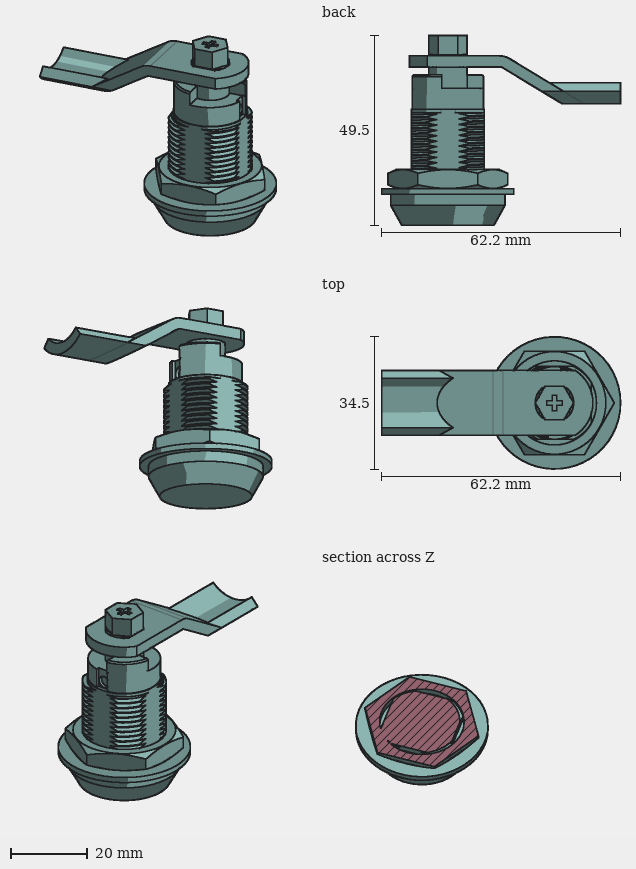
import cadquery as cq
import math


FACE_RADIUS = 12.0
BEZEL_RADIUS = 14.95
BEZEL_CONE_HEIGHT = 5.3
BEZEL_TOP = 8.1
FLANGE_RADIUS = 17.25
FLANGE_TOP = 9.6

BARREL_RADIUS = 10.95
BARREL_FLATS = 19.05
THREAD_ROOT_RADIUS = 9.95
THREAD_PITCH = 1.405
THREAD_ANGLE = 60.0
THREAD_TOP = 29.4
GROOVE_START = 10.4
GROOVE_TURNS = 14
GROOVE_OVERCUT = 0.1
COLLAR_RADIUS = 9.7
BARREL_TOP = 30.25

NUT_FLATS = 27.0
NUT_HEIGHT = 5.0
NUT_CHAMFER_RADIUS = 13.4
NUT_CHAMFER_HEIGHT = 1.0

ROTOR_RADIUS = 9.45
ROTOR_STEP = 35.7
ROTOR_TOP = 39.2
ROTOR_CHAMFER = 0.45
LUG_OFFSET = 1.6
SLOT_WIDTH = 3.6
SLOT_FLOOR = 8.4
SLOT_HOLE_RADIUS = 1.6
SLOT_HOLE_DEPTH = 1.0

BAR_RADIUS = 5.01
NECK_SQUARE = 7.95
HEAD_BOTTOM = 44.5
HEAD_TOP = 49.5
CROSS_LENGTH = 4.1
CROSS_WIDTH = 1.1
CROSS_DEPTH = 1.0

LEVER_WIDTH = 16.95
LEVER_THICKNESS = 3.0
LEVER_TOP = 44.2
LEVER_END_RADIUS = 10.0
LEVER_TIP_X = -45.0
BEND_X = -14.0
BEND_ANGLE = 31.2
BEND_OUTER_RADIUS = 5.0
TROUGH_OUTER_RADIUS = 12.5
TROUGH_HALF_ANGLE = math.degrees(math.asin(LEVER_WIDTH / 2 / TROUGH_OUTER_RADIUS))

LEVER_BOTTOM = LEVER_TOP - LEVER_THICKNESS
TROUGH_INNER_RADIUS = TROUGH_OUTER_RADIUS - LEVER_THICKNESS


def disc(radius, bottom, top):
    return cq.Workplane("XY").workplane(offset=bottom).circle(radius).extrude(top - bottom)


def square_bar(side, bottom, top):
    return cq.Workplane("XY").workplane(offset=bottom).rect(side, side).extrude(top - bottom)


def hexagon(across_corners, bottom, top):
    """Hexagonal prism with two corners on the X axis."""
    return cq.Workplane("XY").workplane(offset=bottom).polygon(6, across_corners).extrude(top - bottom)


def make_front():
    """Tapered bezel and flange."""
    outline = [
        (0, 0),
        (FACE_RADIUS, 0),
        (BEZEL_RADIUS, BEZEL_CONE_HEIGHT),
        (BEZEL_RADIUS, BEZEL_TOP),
        (FLANGE_RADIUS, BEZEL_TOP),
        (FLANGE_RADIUS, FLANGE_TOP),
        (0, FLANGE_TOP),
    ]
    return cq.Workplane("XZ").polyline(outline).close().revolve(360, (0, 0, 0), (0, 1, 0))


def make_groove_quarter():
    """First quarter turn of the right-hand helical V groove; its cutter stands out of the barrel."""
    outer_radius = BARREL_RADIUS + GROOVE_OVERCUT
    half_width = (outer_radius - THREAD_ROOT_RADIUS) * math.tan(math.radians(THREAD_ANGLE / 2))
    path = cq.Wire.makeHelix(
        THREAD_PITCH, THREAD_PITCH / 4, THREAD_ROOT_RADIUS, cq.Vector(0, 0, GROOVE_START)
    )
    return (
        cq.Workplane("XZ")
        .polyline([
            (THREAD_ROOT_RADIUS, GROOVE_START),
            (outer_radius, GROOVE_START - half_width),
            (outer_radius, GROOVE_START + half_width),
        ])
        .close()
        .sweep(cq.Workplane("XY").add(path), isFrenet=True)
        .val()
    )


def make_barrel():
    """Barrel with four flats, a helical thread on its four corners and a plain collar on top."""
    flats = square_bar(BARREL_FLATS, FLANGE_TOP, BARREL_TOP)
    barrel = disc(BARREL_RADIUS, FLANGE_TOP, THREAD_TOP).intersect(flats)

    quarter = make_groove_quarter()
    groove = []
    for i in range(4 * GROOVE_TURNS):
        lifted = quarter.translate(cq.Vector(0, 0, i * THREAD_PITCH / 4))
        groove.append(lifted.rotate(cq.Vector(0, 0, 0), cq.Vector(0, 0, 1), i * 90))
    threaded = cq.Workplane(barrel.val().cut(*groove))

    collar = disc(COLLAR_RADIUS, THREAD_TOP, BARREL_TOP).intersect(flats)
    return threaded.union(collar)


def make_rotor():
    """Rotor with two diagonally opposite lugs and a stop slot on each X side."""
    blank = disc(ROTOR_RADIUS, BARREL_TOP, ROTOR_TOP).faces(">Z").edges().chamfer(ROTOR_CHAMFER)
    lug_corner = cq.Workplane("XY").box(
        ROTOR_RADIUS, ROTOR_RADIUS, ROTOR_TOP - BARREL_TOP, centered=False
    ).translate((LUG_OFFSET, LUG_OFFSET, BARREL_TOP))
    keep = disc(ROTOR_RADIUS, BARREL_TOP, ROTOR_STEP)
    for angle in (0, 180):
        keep = keep.union(lug_corner.rotate((0, 0, 0), (0, 0, 1), angle))
    rotor = blank.intersect(keep)

    slot = cq.Workplane("XY").box(
        ROTOR_RADIUS, SLOT_WIDTH, ROTOR_STEP - BARREL_TOP, centered=(False, True, False)
    ).translate((SLOT_FLOOR, 0, BARREL_TOP))
    hole_height = BARREL_TOP + SLOT_WIDTH / 2
    hole = (
        cq.Workplane("YZ", origin=(SLOT_FLOOR - SLOT_HOLE_DEPTH, 0, hole_height))
        .circle(SLOT_HOLE_RADIUS)
        .extrude(SLOT_HOLE_DEPTH)
    )
    cutter = slot.union(hole)
    for angle in (0, 180):
        rotor = rotor.cut(cutter.rotate((0, 0, 0), (0, 0, 1), angle))
    return rotor


def make_spindle():
    """Round spindle, square neck through the lever and hexagon head with a cross recess."""
    spindle = disc(BAR_RADIUS, ROTOR_STEP, LEVER_BOTTOM)
    neck = disc(BAR_RADIUS, LEVER_BOTTOM, HEAD_BOTTOM).intersect(
        square_bar(NECK_SQUARE, LEVER_BOTTOM, HEAD_BOTTOM)
    )
    head = hexagon(2 * BAR_RADIUS, HEAD_BOTTOM, HEAD_TOP)
    for length_x, length_y in ((CROSS_LENGTH, CROSS_WIDTH), (CROSS_WIDTH, CROSS_LENGTH)):
        arm = cq.Workplane("XY").workplane(offset=HEAD_TOP).rect(length_x, length_y).extrude(-CROSS_DEPTH)
        head = head.cut(arm)
    return spindle.union(neck).union(head)


def make_lever():
    """Flat plate with a round end, bent down into a slope that ends in a curved trough."""
    slope = math.radians(BEND_ANGLE)
    top_bend_x = BEND_X - LEVER_THICKNESS * math.tan(slope / 2)
    trough_bottom = LEVER_TOP - TROUGH_OUTER_RADIUS
    trough_edge = LEVER_TOP - TROUGH_OUTER_RADIUS * math.cos(math.radians(TROUGH_HALF_ANGLE))
    half_width = LEVER_WIDTH / 2

    def slope_x(bend_x, bend_z):
        """X where a sloping face that starts at the given bend reaches the trough bottom."""
        return bend_x - (bend_z - trough_bottom) / math.tan(slope)

    lower_toe = slope_x(BEND_X, LEVER_BOTTOM)
    upper_toe = slope_x(top_bend_x, LEVER_TOP)

    plate = (
        cq.Workplane("XZ", origin=(0, half_width, 0))
        .polyline([
            (LEVER_END_RADIUS, LEVER_TOP),
            (top_bend_x, LEVER_TOP),
            (upper_toe, trough_bottom),
            (lower_toe, trough_bottom),
            (BEND_X, LEVER_BOTTOM),
            (LEVER_END_RADIUS, LEVER_BOTTOM),
        ])
        .close()
        .extrude(LEVER_WIDTH)
    )
    bend_edge = cq.selectors.NearestToPointSelector((top_bend_x, 0, LEVER_TOP))
    plate = plate.edges(bend_edge).fillet(BEND_OUTER_RADIUS)

    end_region = disc(LEVER_END_RADIUS, trough_bottom, LEVER_TOP).union(
        cq.Workplane("XY").box(
            -LEVER_TIP_X, LEVER_WIDTH, TROUGH_OUTER_RADIUS, centered=(False, True, False)
        ).translate((LEVER_TIP_X, 0, trough_bottom))
    )
    plate = plate.intersect(end_region)

    lever_length = LEVER_END_RADIUS - LEVER_TIP_X
    under_region = (
        cq.Workplane("YZ", origin=(LEVER_TIP_X, 0, LEVER_TOP))
        .circle(TROUGH_OUTER_RADIUS)
        .extrude(lever_length)
        .union(
            cq.Workplane("XY").box(
                lever_length, LEVER_WIDTH, LEVER_TOP - trough_edge, centered=(False, True, False)
            ).translate((LEVER_TIP_X, 0, trough_edge))
        )
    )
    plate = plate.intersect(under_region)

    def on_ring(radius, angle):
        turn = math.radians(angle)
        return (radius * math.sin(turn), -radius * math.cos(turn))

    ring_sector = (
        cq.Workplane("YZ", origin=(LEVER_TIP_X, 0, LEVER_TOP))
        .moveTo(*on_ring(TROUGH_OUTER_RADIUS, -TROUGH_HALF_ANGLE))
        .threePointArc(
            on_ring(TROUGH_OUTER_RADIUS, 0), on_ring(TROUGH_OUTER_RADIUS, TROUGH_HALF_ANGLE)
        )
        .lineTo(*on_ring(TROUGH_INNER_RADIUS, TROUGH_HALF_ANGLE))
        .threePointArc(
            on_ring(TROUGH_INNER_RADIUS, 0), on_ring(TROUGH_INNER_RADIUS, -TROUGH_HALF_ANGLE)
        )
        .close()
        .extrude(BEND_X - LEVER_TIP_X)
    )
    left_of_slope = (
        cq.Workplane("XZ", origin=(0, half_width, 0))
        .polyline([
            (LEVER_TIP_X, trough_bottom),
            (lower_toe, trough_bottom),
            (BEND_X, LEVER_BOTTOM),
            (LEVER_TIP_X, LEVER_BOTTOM),
        ])
        .close()
        .extrude(LEVER_WIDTH)
    )
    trough = ring_sector.intersect(left_of_slope)

    hole = disc(BAR_RADIUS, LEVER_BOTTOM, LEVER_TOP).intersect(
        cq.Workplane("XY").workplane(offset=LEVER_BOTTOM)
        .rect(2 * BAR_RADIUS, NECK_SQUARE)
        .extrude(LEVER_THICKNESS)
    )
    return plate.union(trough).cut(hole)


def make_nut():
    """Hexagon nut chamfered on both faces, with a round hole that fits over the thread crests."""
    nut_top = FLANGE_TOP + NUT_HEIGHT
    corner_radius = NUT_FLATS / math.sqrt(3)
    outline = [
        (0, FLANGE_TOP),
        (NUT_CHAMFER_RADIUS, FLANGE_TOP),
        (corner_radius, FLANGE_TOP + NUT_CHAMFER_HEIGHT),
        (corner_radius, nut_top - NUT_CHAMFER_HEIGHT),
        (NUT_CHAMFER_RADIUS, nut_top),
        (0, nut_top),
    ]
    chamfered = cq.Workplane("XZ").polyline(outline).close().revolve(360, (0, 0, 0), (0, 1, 0))
    nut = hexagon(2 * corner_radius, FLANGE_TOP, nut_top).intersect(chamfered)
    return nut.cut(disc(BARREL_RADIUS, FLANGE_TOP, nut_top))


def make_lock():
    """Everything except the lever, as one solid."""
    lock = make_front()
    for piece in (make_barrel(), make_nut(), make_rotor(), make_spindle()):
        lock = lock.union(piece)
    return lock.solids()


lock = make_lock()
lever = make_lever().solids()
result = cq.Compound.makeCompound([lock.val(), lever.val()])